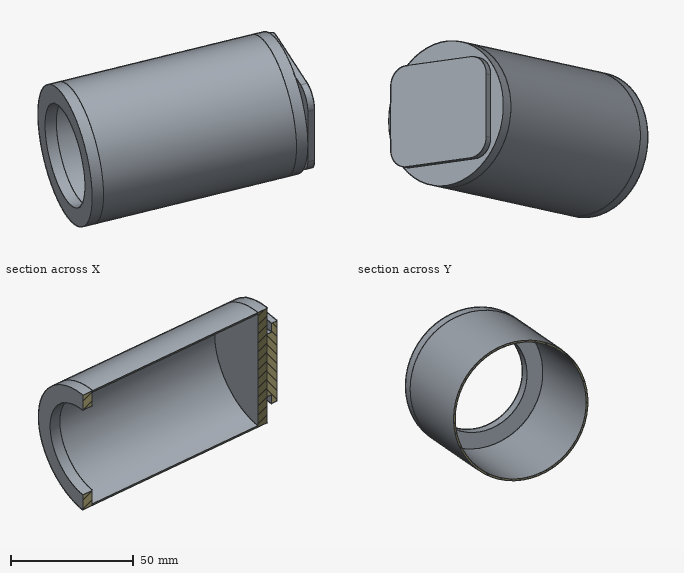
import cadquery as cq

outer_diameter = 60.0
tube_wall = 1.0
tube_length = 85.0
end_thickness = 5.0
opening_diameter = 44.0
neck_diameter = 33.0
neck_length = 2.0
flange_width = 50.0
flange_height = 42.0
flange_thickness = 3.0
flange_corner_radius = 8.0

tube_start = end_thickness
cap_start = tube_start + tube_length
neck_start = cap_start + end_thickness
flange_start = neck_start + neck_length


def plane_at(y):
    """Plane across the axis at the given Y, with its normal toward +Y."""
    return cq.Workplane(cq.Plane(origin=(0, y, 0), xDir=(1, 0, 0), normal=(0, 1, 0)))


def disc(y, diameter, length):
    return plane_at(y).circle(diameter / 2).extrude(length)


def ring(y, outside, inside, length):
    return plane_at(y).circle(outside / 2).circle(inside / 2).extrude(length)


def make_front_ring():
    return ring(0, outer_diameter, opening_diameter, end_thickness)


def make_tube():
    return ring(tube_start, outer_diameter, outer_diameter - 2 * tube_wall, tube_length)


def make_rear_cap():
    return disc(cap_start, outer_diameter, end_thickness)


def make_mount():
    """Round neck carrying a rectangular flange with rounded corners."""
    neck = disc(neck_start, neck_diameter, neck_length)
    flange = (
        plane_at(flange_start)
        .rect(flange_width, flange_height)
        .extrude(flange_thickness)
        .edges("|Y")
        .fillet(flange_corner_radius)
    )
    return neck.union(flange)


front_ring = make_front_ring()
tube = make_tube()
rear_cap = make_rear_cap()
mount = make_mount()

result = cq.Compound.makeCompound(
    [front_ring.val(), tube.val(), rear_cap.val(), mount.val()]
)